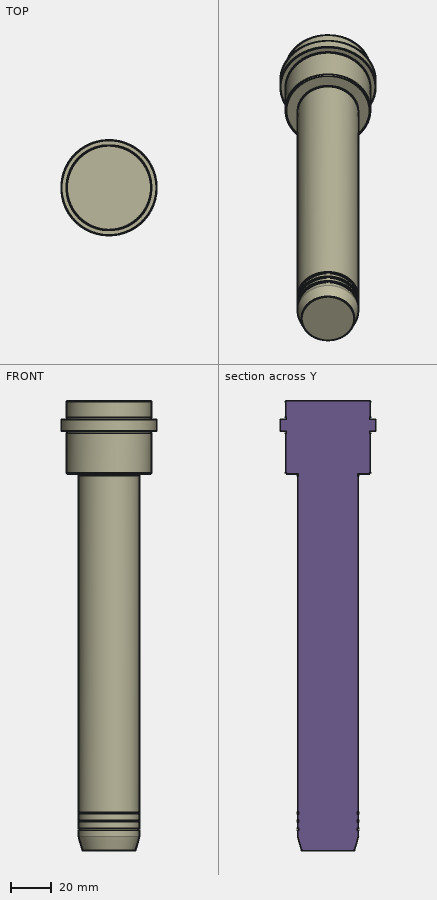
import cadquery as cq

total_height = 221.0
head_height = 36.0
flange_top_depth = 9.0
flange_thickness = 6.0

flange_diameter = 47.0
head_diameter = 42.0
shaft_diameter = 30.0

head_top_chamfer = 0.5
head_bottom_chamfer = 0.7
flange_chamfer = 0.33
foot_chamfer = 0.2

nose_height = 7.0
nose_foot_diameter = 26.0
nose_bulge = 0.1

relief_width = 0.9
relief_depth = 0.33

groove_count = 3
groove_pitch = 4.0
first_groove_height = 10.5
groove_width = 0.9
groove_depth = 0.5

head_bottom = total_height - head_height
flange_top = total_height - flange_top_depth
flange_bottom = flange_top - flange_thickness


def disc(diameter, bottom, top):
    """Solid cylinder on the part axis between two heights."""
    return cq.Workplane("XY").workplane(offset=bottom).circle(diameter / 2).extrude(top - bottom)


def ring_groove(diameter, bottom, width, depth):
    """Ring of material to cut from a cylinder of the given diameter."""
    top = bottom + width
    return disc(diameter, bottom, top).cut(disc(diameter - 2 * depth, bottom, top))


def nose():
    """Lead-in that narrows towards the foot along a shallow convex arc."""
    shaft_radius = shaft_diameter / 2
    foot_radius = nose_foot_diameter / 2
    arc_middle = (
        (shaft_radius + foot_radius) / 2 + nose_bulge,
        (nose_height + foot_chamfer) / 2,
    )
    return (
        cq.Workplane("XZ")
        .lineTo(foot_radius - foot_chamfer, 0)
        .lineTo(foot_radius, foot_chamfer)
        .threePointArc(arc_middle, (shaft_radius, nose_height))
        .lineTo(0, nose_height)
        .close()
        .revolve(360, (0, 0, 0), (0, 1, 0))
    )


def shaft():
    """Long cylinder with the ring grooves and the relief under the head."""
    body = disc(shaft_diameter, nose_height, head_bottom)
    for index in range(groove_count):
        groove_bottom = first_groove_height + index * groove_pitch - groove_width / 2
        body = body.cut(ring_groove(shaft_diameter, groove_bottom, groove_width, groove_depth))
    return body.cut(ring_groove(shaft_diameter, head_bottom - relief_width, relief_width, relief_depth))


def head():
    """Chamfered cylinder with a relief on each side of the flange."""
    body = disc(head_diameter, head_bottom, total_height)
    body = body.faces(">Z").chamfer(head_top_chamfer)
    body = body.faces("<Z").chamfer(head_bottom_chamfer)
    for relief_bottom in (flange_bottom - relief_width, flange_top):
        body = body.cut(ring_groove(head_diameter, relief_bottom, relief_width, relief_depth))
    return body


def flange():
    """Collar round the head with both rims chamfered."""
    return disc(flange_diameter, flange_bottom, flange_top).faces("<Z or >Z").chamfer(flange_chamfer)


result = nose().union(shaft()).union(head()).union(flange())